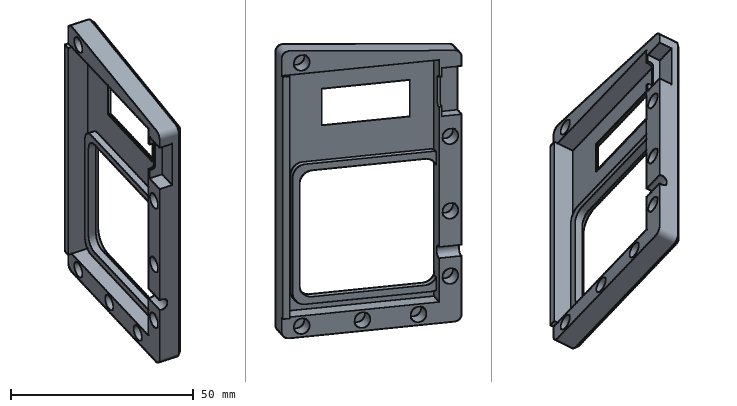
import cadquery as cq
import math

width = 51.5
height = 83.4
body_depth = 7.1
corner_radius = 2.1
top_slope = math.radians(5.7)
back_chamfer = 1.1

wall_left = 2.0
cavity_right = 45.1
cavity_bottom = 6.2
cavity_top = 76.35
cavity_depth = 5.1

lip_height = 1.1

opening_left = 6.1
opening_right = 45.4
opening_bottom = 10.3
opening_top = 46.9
opening_radius = 3.5
rim_width = 2.0
rim_height = 2.1

window_left = 13.1
window_right = 38.3
window_bottom = 58.9
window_top = 69.5

land_thickness = 0.25
bevel_start = cavity_depth + land_thickness
bevel_size = body_depth - bevel_start

hole_diameter = 4.5
hole_depth = 5.0
left_hole_x = 5.75
right_hole_x = 48.3
bottom_hole_z = 3.2
hole_centers = [(left_hole_x, 79.5)]
hole_centers += [(x, bottom_hole_z) for x in (left_hole_x, 23.1, 39.2)]
hole_centers += [(right_hole_x, z) for z in (13.3, 32.3, 53.85)]

recess_left = 45.85
recess_bottom = 59.9
recess_top = 73.9
recess_depth = 3.9
notch_bottom = 62.7
notch_top = 71.4
notch_depth = 1.75
notch_radius = 1.1

groove_z = 20.5
groove_radius = 1.75
groove_depth = 2.4


def block(x0, x1, y0, y1, z0, z1):
    """Axis-aligned box between the given limits."""
    return cq.Workplane("XY").box(x1 - x0, y1 - y0, z1 - z0, centered=False).translate((x0, y0, z0))


def make_body():
    sharp_top = height - corner_radius + corner_radius * (1 / math.cos(top_slope) + math.tan(top_slope))
    right_top = sharp_top - width * math.tan(top_slope)
    outline = [(0, 0), (width, 0), (width, right_top), (0, sharp_top)]
    body = cq.Workplane("XZ").polyline(outline).close().extrude(-body_depth)
    return body.edges("|Y").fillet(corner_radius).faces(">Y").chamfer(back_chamfer)


def opening_prism(margin, y0, y1):
    """Rounded opening outline grown by margin and cut off at the right wall."""
    prism = block(
        opening_left - margin, opening_right + margin, y0, y1, opening_bottom - margin, opening_top + margin
    )
    prism = prism.edges("|Y").fillet(opening_radius)
    return prism.intersect(block(0, cavity_right, y0, y1, 0, height))


def make_holes():
    holes = cq.Workplane("XZ").pushPoints(hole_centers)
    return holes.circle(hole_diameter / 2).extrude(-hole_depth)


def make_notch():
    notch = block(cavity_right, recess_left, 0, notch_depth, notch_bottom, notch_top)
    return notch.edges("|X and >Y").fillet(notch_radius)


def make_groove():
    axis_start = (cavity_right, groove_depth - groove_radius, groove_z)
    return cq.Workplane("YZ", origin=axis_start).circle(groove_radius).extrude(width - cavity_right)


def make_bevel(left, right, bottom, top, radius=0):
    """45-degree flare behind an opening, whose corner radius may be zero."""
    x0, x1 = left - bevel_size, right + bevel_size
    z0, z1 = bottom - bevel_size, top + bevel_size
    bevel = block(x0, x1, bevel_start, body_depth + bevel_size, z0, z1)
    if radius > 0:
        bevel = bevel.edges("|Y").fillet(radius + bevel_size)
    return bevel.faces("<Y").chamfer(bevel_size)


cavity = block(wall_left, cavity_right, 0, cavity_depth, cavity_bottom, cavity_top)
lip = block(0, wall_left, -lip_height, 0, cavity_bottom, cavity_top)
rim = opening_prism(rim_width, cavity_depth - rim_height, cavity_depth)
opening = opening_prism(0, 0, body_depth)
window = block(window_left, window_right, 0, body_depth, window_bottom, window_top)
opening_bevel = make_bevel(opening_left, opening_right, opening_bottom, opening_top, opening_radius)
window_bevel = make_bevel(window_left, window_right, window_bottom, window_top)
side_recess = block(recess_left, width, 0, recess_depth, recess_bottom, recess_top)

result = make_body().cut(cavity).union(lip).union(rim)

cutters = [opening, opening_bevel, window, window_bevel]
cutters += [side_recess, make_notch(), make_groove(), make_holes()]
for cutter in cutters:
    result = result.cut(cutter)